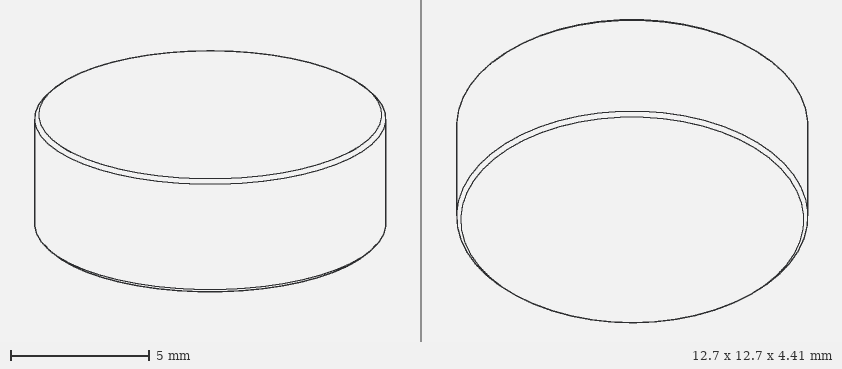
import cadquery as cq

diameter = 12.7
edge_height = 4.41
edge_chamfer = 0.15
hollow_depth = 2.41

outer_radius = diameter / 2
rim_radius = outer_radius - edge_chamfer
hollow_bottom = edge_height - hollow_depth
sphere_radius = (rim_radius**2 + hollow_depth**2) / (2 * hollow_depth)
mid_radius = rim_radius / 2
mid_height = hollow_bottom + sphere_radius - (sphere_radius**2 - mid_radius**2) ** 0.5

half_section = (
    cq.Workplane("YZ")
    .lineTo(-rim_radius, 0)
    .lineTo(-outer_radius, edge_chamfer)
    .lineTo(-outer_radius, edge_height - edge_chamfer)
    .lineTo(-rim_radius, edge_height)
    .threePointArc((-mid_radius, mid_height), (0, hollow_bottom))
    .close()
)

result = half_section.revolve(360, (0, 0, 0), (0, 1, 0))